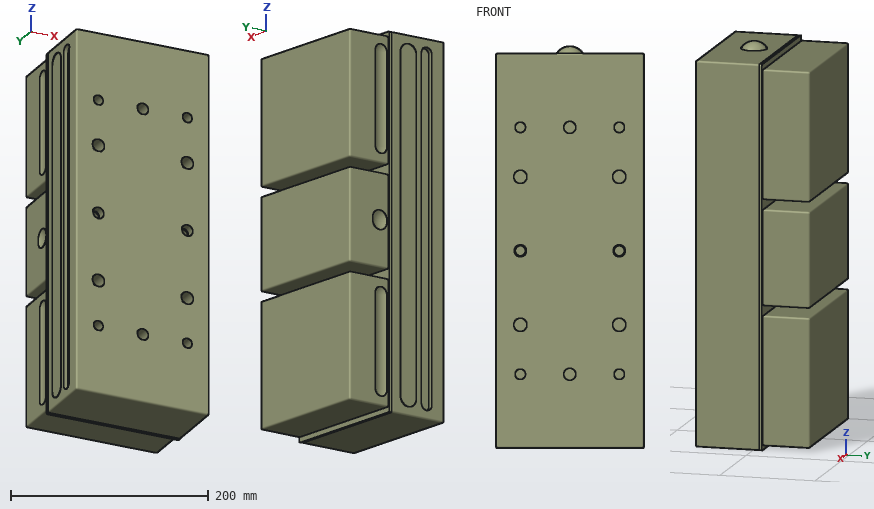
import cadquery as cq

BASE_WIDTH = 150.0
BASE_DEPTH = 67.0
BASE_HEIGHT = 399.8
PLATE_DEPTH = 3.0
JAW_DEPTH = 50.0
JAW_WIDTH = 148.0
EDGE_RADIUS = 2.0
SIDE_SHIFT = 0.5

END_JAW_HEIGHT = 134.8
MIDDLE_JAW_HEIGHT = 99.7
JAW_GAP = 10.0

END_GRIP_SETBACK = 10.0
END_GRIP_DIAMETER = 26.5
END_GRIP_STRAIGHT = 100.0
MIDDLE_GRIP_SETBACK = 12.0
MIDDLE_GRIP_DIAMETER = 28.5
MIDDLE_GRIP_STRAIGHT = 2.5
GRIP_AXIS_OFFSET = 11.0

SLOT_LENGTH = 381.0
WIDE_SLOT_WIDTH = 20.5
WIDE_SLOT_Y = 46.0
WIDE_SLOT_RECESS = 0.5
NARROW_SLOT_WIDTH = 13.5
NARROW_SLOT_Y = 23.0
NARROW_SLOT_RECESS = 5.0

BUTTON_DIAMETER = 27.0
BUTTON_RISE = 7.5
BUTTON_Y = 41.0

HOLE_X = 50.0
OUTER_HOLE_Z = 125.0
INNER_HOLE_Z = 75.0
HOLE_DEPTH = 20.0
CORNER_HOLE_DIAMETER = 10.5
CENTRE_HOLE_DIAMETER = 12.2
INNER_HOLE_DIAMETER = 13.5
MIDDLE_HOLE_DIAMETER = 10.0
MIDDLE_BORE_DIAMETER = 12.2
MIDDLE_BORE_DEPTH = 10.0

MIDDLE_Z = BASE_HEIGHT / 2
PLATE_Y = BASE_DEPTH
JAW_Y = PLATE_Y + PLATE_DEPTH
JAW_PITCH = (END_JAW_HEIGHT + MIDDLE_JAW_HEIGHT) / 2 + JAW_GAP


def block(width, depth, height, x, y, z):
    """Box centred on x and z, whose front face lies at y."""
    return cq.Workplane("XY").box(width, depth, height).translate((x, y + depth / 2, z))


def front_holes(points, diameter, depth):
    """Round holes cut into the front face at (x, z) points relative to its middle."""
    plane = cq.Plane(origin=(0, 0, MIDDLE_Z), xDir=(1, 0, 0), normal=(0, -1, 0))
    return cq.Workplane(plane).pushPoints(points).circle(diameter / 2).extrude(-depth)


def side_slot(width, y, recess):
    """Vertical slot with rounded ends, cut into the -X side of the base."""
    plane = cq.Plane(origin=(-BASE_WIDTH / 2, y, MIDDLE_Z), xDir=(0, -1, 0), normal=(-1, 0, 0))
    return cq.Workplane(plane).slot2D(SLOT_LENGTH, width, 90).extrude(-recess)


def top_button():
    """Spherical cap that stands on the top face."""
    rim_radius = BUTTON_DIAMETER / 2
    radius = (rim_radius**2 + BUTTON_RISE**2) / (2 * BUTTON_RISE)
    ball = cq.Workplane("XY").sphere(radius)
    return ball.translate((0, BUTTON_Y, BASE_HEIGHT + BUTTON_RISE - radius))


def make_base():
    """Base block with its button, side slots and front holes."""
    body = block(BASE_WIDTH, BASE_DEPTH, BASE_HEIGHT, 0, 0, MIDDLE_Z).edges().fillet(EDGE_RADIUS)
    body = body.union(top_button())
    body = body.cut(side_slot(WIDE_SLOT_WIDTH, WIDE_SLOT_Y, WIDE_SLOT_RECESS))
    body = body.cut(side_slot(NARROW_SLOT_WIDTH, NARROW_SLOT_Y, NARROW_SLOT_RECESS))

    corners = [(x, z) for x in (-HOLE_X, HOLE_X) for z in (-OUTER_HOLE_Z, OUTER_HOLE_Z)]
    centres = [(0, -OUTER_HOLE_Z), (0, OUTER_HOLE_Z)]
    inner = [(x, z) for x in (-HOLE_X, HOLE_X) for z in (-INNER_HOLE_Z, INNER_HOLE_Z)]
    middle = [(-HOLE_X, 0), (HOLE_X, 0)]
    body = body.cut(front_holes(corners, CORNER_HOLE_DIAMETER, HOLE_DEPTH))
    body = body.cut(front_holes(centres, CENTRE_HOLE_DIAMETER, HOLE_DEPTH))
    body = body.cut(front_holes(inner, INNER_HOLE_DIAMETER, HOLE_DEPTH))
    body = body.cut(front_holes(middle, MIDDLE_HOLE_DIAMETER, HOLE_DEPTH))
    return body.cut(front_holes(middle, MIDDLE_BORE_DIAMETER, MIDDLE_BORE_DEPTH))


def make_plate():
    """Thin plate between the base and the jaws."""
    body = block(BASE_WIDTH, PLATE_DEPTH, BASE_HEIGHT, SIDE_SHIFT, PLATE_Y, MIDDLE_Z)
    return body.edges("|Y").fillet(EDGE_RADIUS)


def grip(diameter, straight, setback, z):
    """Cylinder along Z with ball ends, lying along the -X side of a jaw."""
    radius = diameter / 2
    rod = cq.Workplane("XY").circle(radius).extrude(straight).translate((0, 0, -straight / 2))
    for end in (-straight / 2, straight / 2):
        rod = rod.union(cq.Workplane("XY").sphere(radius).translate((0, 0, end)))
    x = SIDE_SHIFT - JAW_WIDTH / 2 - GRIP_AXIS_OFFSET
    return rod.translate((x, JAW_Y + setback, z))


def make_jaw(height, z, grip_diameter, grip_straight, grip_setback):
    """Block with rounded edges and one grip recess in its -X side."""
    body = block(JAW_WIDTH, JAW_DEPTH, height, SIDE_SHIFT, JAW_Y, z).edges().fillet(EDGE_RADIUS)
    return body.cut(grip(grip_diameter, grip_straight, grip_setback, z))


base = make_base()
plate = make_plate()
middle_jaw = make_jaw(
    MIDDLE_JAW_HEIGHT, MIDDLE_Z, MIDDLE_GRIP_DIAMETER, MIDDLE_GRIP_STRAIGHT, MIDDLE_GRIP_SETBACK
)
end_jaws = [
    make_jaw(END_JAW_HEIGHT, MIDDLE_Z + offset, END_GRIP_DIAMETER, END_GRIP_STRAIGHT, END_GRIP_SETBACK)
    for offset in (-JAW_PITCH, JAW_PITCH)
]

result = cq.Compound.makeCompound(
    [base.val(), plate.val(), middle_jaw.val(), *[jaw.val() for jaw in end_jaws]]
)